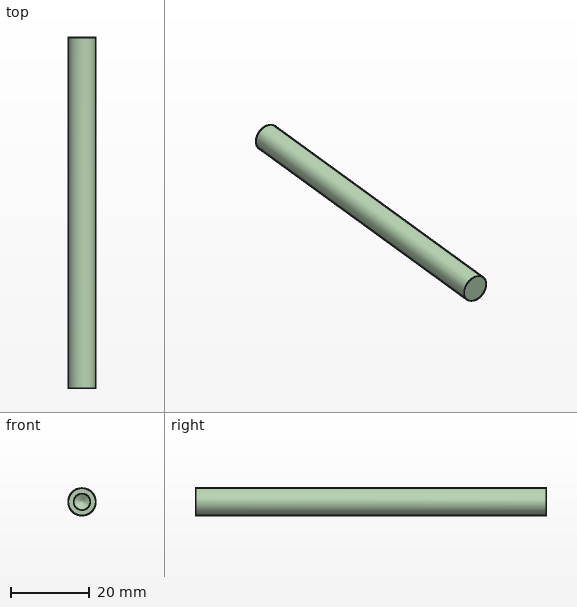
import cadquery as cq
import math

length = 88.9
rod_diameter = 7.0
hole_diameter = 4.2
hole_depth = 12.0
tip_angle = 118.0

rod_radius = rod_diameter / 2
hole_radius = hole_diameter / 2
tip_depth = hole_radius / math.tan(math.radians(tip_angle / 2))

front_y = -length / 2
back_y = length / 2
hole_floor_y = front_y + hole_depth

result = (
    cq.Workplane("XY")
    .moveTo(hole_radius, front_y)
    .lineTo(rod_radius, front_y)
    .lineTo(rod_radius, back_y)
    .lineTo(0, back_y)
    .lineTo(0, hole_floor_y + tip_depth)
    .lineTo(hole_radius, hole_floor_y)
    .close()
    .revolve(360, (0, 0, 0), (0, 1, 0))
)